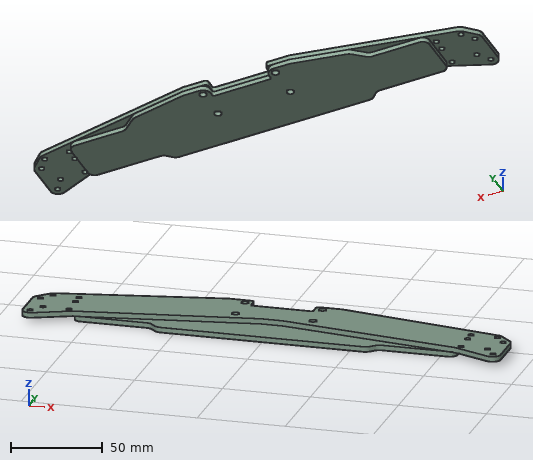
import cadquery as cq
import math

thickness = 3.0
stack_height = 2 * thickness
corner_reach = 0.03

notch_half = 17.7
notch_depth = 7.5
notch_floor_radius = 1.0
shoulder_half = 32.3
back_slope = 0.188
mount_hole_diameter = 4.0
mount_hole_half = 22.0
mount_hole_depths = (3.8, 22.5)

upper_mouth_radius = 2.0
tip_half = 135.8
tip_depth = 52.5
tip_chamfer = 8.5
tip_radius = 4.5
chamfer_radius = 5.0
arm_half = 108.6
crown_half = 6.2
crown_depth = 27.2
crown_radius = 10.9
tip_front_slope = 0.42
small_hole_diameter = 3.0
small_holes = (
    (111.4, 21.0), (126.3, 21.0),
    (111.4, 27.7), (131.5, 27.7),
    (111.4, 40.7), (126.3, 40.7),
    (131.5, 47.8),
)

ear_half = 108.6
ear_back_depth = 13.9
ear_front_depth = 42.6
ear_radius = 4.0
bend_half = 65.5
ear_start_half = 74.1
belly_half = 62.2
belly_depth = 47.8
step_radius = 5.0
lower_mouth_radius = step_radius


def back_edge_depth(half):
    return (half - shoulder_half) * back_slope


def mirrored_plate(half_outline, base_z):
    right = [(half, -depth) for half, depth in half_outline]
    left = [(-x, y) for x, y in reversed(right)]
    return cq.Workplane("XY").workplane(offset=base_z).polyline(right + left).close().extrude(thickness)


def round_corners(plate, corners, radius):
    for half, depth in corners:
        for side in (-1, 1):
            x = side * half
            corner_box = cq.selectors.BoxSelector(
                (x - corner_reach, -depth - corner_reach, 0),
                (x + corner_reach, -depth + corner_reach, stack_height),
            )
            plate = plate.edges("|Z").edges(corner_box).fillet(radius)
    return plate


def drill(plate, holes, diameter):
    points = [(side * half, -depth) for half, depth in holes for side in (-1, 1)]
    drills = cq.Workplane("XY").pushPoints(points).circle(diameter / 2).extrude(stack_height)
    return plate.cut(drills)


mount_holes = [(mount_hole_half, depth) for depth in mount_hole_depths]
notch_floor = (notch_half, notch_depth)
notch_mouth = (notch_half, 0)
shoulder = (shoulder_half, 0)


def make_upper_plate():
    chamfer_start = (tip_half - tip_chamfer, back_edge_depth(tip_half - tip_chamfer))
    chamfer_end = (tip_half, chamfer_start[1] + tip_chamfer)
    tip_overhang = tip_radius * (math.hypot(1, tip_front_slope) - 1 + tip_front_slope)
    tip = (tip_half, tip_depth + tip_overhang)
    arm = (arm_half, tip[1] - tip_front_slope * (tip_half - arm_half))
    crown = (crown_half, crown_depth)
    plate = mirrored_plate(
        [notch_floor, notch_mouth, shoulder, chamfer_start, chamfer_end, tip, arm, crown], thickness
    )
    plate = round_corners(plate, [notch_floor], notch_floor_radius)
    plate = round_corners(plate, [notch_mouth], upper_mouth_radius)
    plate = round_corners(plate, [chamfer_start, chamfer_end], chamfer_radius)
    plate = round_corners(plate, [tip], tip_radius)
    plate = round_corners(plate, [crown], crown_radius)
    plate = drill(plate, mount_holes, mount_hole_diameter)
    return drill(plate, small_holes, small_hole_diameter)


def make_lower_plate():
    bend = (bend_half, back_edge_depth(bend_half))
    ear_start = (ear_start_half, ear_back_depth)
    ear_back = (ear_half, ear_back_depth)
    ear_front = (ear_half, ear_front_depth)
    step_size = belly_depth - ear_front_depth
    step_outer = (belly_half + step_size / 2, ear_front_depth)
    step_inner = (belly_half - step_size / 2, belly_depth)
    plate = mirrored_plate(
        [notch_floor, notch_mouth, shoulder, bend, ear_start, ear_back, ear_front, step_outer, step_inner], 0
    )
    plate = round_corners(plate, [notch_floor], notch_floor_radius)
    plate = round_corners(plate, [notch_mouth], lower_mouth_radius)
    plate = round_corners(plate, [ear_back, ear_front], ear_radius)
    plate = round_corners(plate, [bend, ear_start, step_outer, step_inner], step_radius)
    return drill(plate, mount_holes, mount_hole_diameter)


upper_plate = make_upper_plate()
lower_plate = make_lower_plate()

result = cq.Compound.makeCompound([upper_plate.val(), lower_plate.val()])